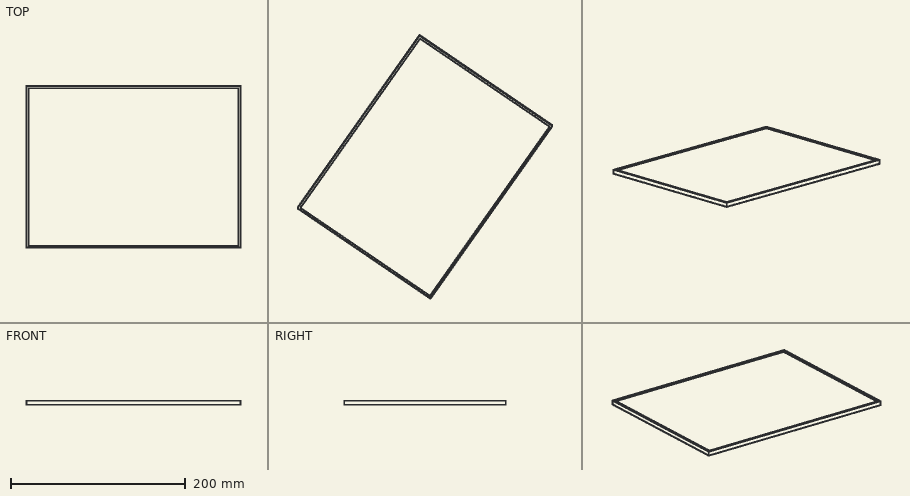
import cadquery as cq

LENGTH = 245.0
WIDTH = 185.0
HEIGHT = 5.0

RIM_WIDTH = 2.5
PANEL_RECESS = 1.0

OPENING_LENGTH = LENGTH - 2 * RIM_WIDTH
OPENING_WIDTH = WIDTH - 2 * RIM_WIDTH
PANEL_THICKNESS = HEIGHT - PANEL_RECESS


def plate(length, width, thickness):
    """Rectangular plate centred on the Z axis, standing on the XY plane."""
    return cq.Workplane("XY").box(length, width, thickness, centered=(True, True, False))


def make_frame():
    """Rectangular border with a straight through opening."""
    return plate(LENGTH, WIDTH, HEIGHT).cut(plate(OPENING_LENGTH, OPENING_WIDTH, HEIGHT))


def make_panel():
    """Flat panel seated in the frame opening."""
    return plate(OPENING_LENGTH, OPENING_WIDTH, PANEL_THICKNESS)


frame = make_frame()
panel = make_panel()

result = cq.Compound.makeCompound([frame.val(), panel.val()])